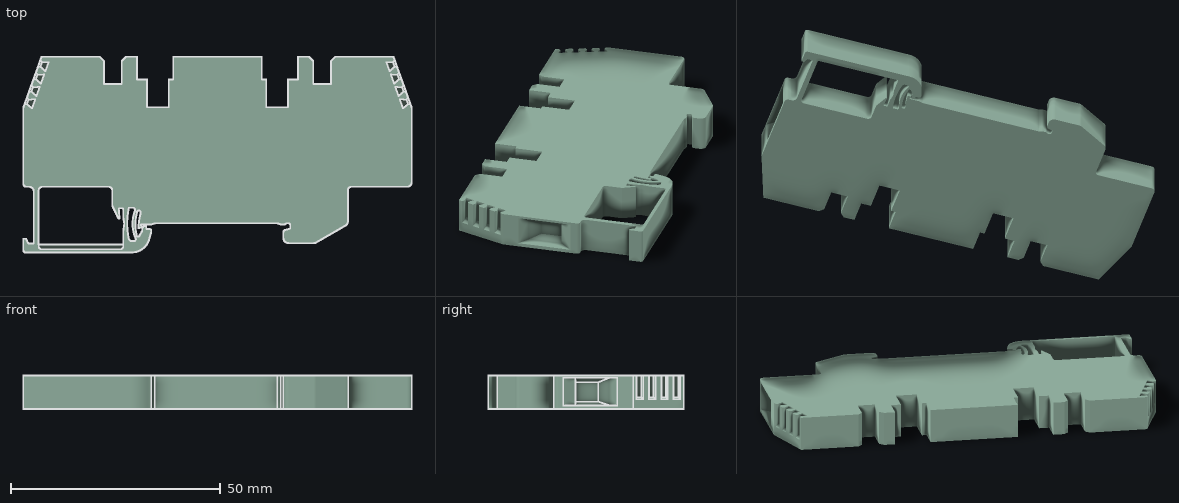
import cadquery as cq
import math

length = 92.8
height = 46.8
thickness = 8.1
middle_x = length / 2

shoulder_y = 15.7
rail_y = 7.0
rail_lip_y = 6.7
seat_x0 = 31.5
seat_x1 = 60.7
lip_run = 0.8
base_x0 = 21.25
base_x1 = 77.6
slope_run = 4.4
slope_y = 34.6
end_radius_left = 0.7
end_radius_right = 1.1

leg_x0 = 2.5
leg_x1 = 3.7
window_x1 = 23.85
bar_y = 0.8
foot_y = 2.2
ledge_y = 1.95
ledge_z = 0.9
window_radius = 0.8

funnel_mouth_depth = 2.6
funnel_depth = 4.6

groove_count = 4
groove_first_drop = 1.7
groove_pitch_y = 3.0
mouth_width = 1.8
neck_width = 1.1
back_width = 2.3
neck_depth = 0.6
groove_depth = 2.0
mouth_z = 2.3


def rounded_outline(corners):
    """Closed wire through (x, y, radius) corners, each rounded by a tangent arc."""
    count = len(corners)
    arcs = []
    for i, (x, y, radius) in enumerate(corners):
        corner = cq.Vector(x, y)
        to_last = (cq.Vector(*corners[i - 1][:2]) - corner).normalized()
        to_next = (cq.Vector(*corners[(i + 1) % count][:2]) - corner).normalized()
        half_angle = to_last.getAngle(to_next) / 2
        setback = radius / math.tan(half_angle)
        bisector = (to_last + to_next).normalized()
        nearest = corner + bisector * (radius / math.sin(half_angle) - radius)
        arcs.append((corner + to_last * setback, nearest, corner + to_next * setback, radius))
    sketch = cq.Workplane("XY").moveTo(*arcs[0][2].toTuple()[:2])
    for start, nearest, end, radius in arcs[1:] + arcs[:1]:
        sketch = sketch.lineTo(start.x, start.y)
        if radius > 0:
            sketch = sketch.threePointArc((nearest.x, nearest.y), (end.x, end.y))
    return sketch.close()


def both_ends(feature):
    """The feature together with its mirror image at the other end."""
    return feature.union(feature.mirror("YZ", (middle_x, 0, 0)))


def plate():
    """Outer outline, with the frame window and spring slots still filled."""
    left_side = [
        (0, shoulder_y, end_radius_left),
        (leg_x0, shoulder_y, 1.1),
        (leg_x0, foot_y, 0),
    ]
    frame_foot = [
        (1.2, foot_y, 0),
        (0.65, 3.3, 0),
        (0, 3.3, 0),
        (0, 0, 0.6),
    ]
    spring_hook = [
        (29.2, 0, 4.4),
        (30.8, 5.7, 0.6),
        (29.4, 5.7, 0),
        (29.4, 6.4, 0),
        (28.8, 6.4, 0),
        (28.4, 5.8, 0),
    ]
    rail_seat = [
        (28.1, rail_lip_y, 0),
        (seat_x0 - lip_run, rail_lip_y, 0),
        (seat_x0, rail_y, 0),
        (seat_x1, rail_y, 0),
        (seat_x1 + lip_run, rail_lip_y, 0),
    ]
    fixed_foot = [
        (62.5, rail_lip_y, 0),
        (62.8, rail_y, 0.3),
        (63.8, rail_y, 0.4),
        (63.8, 5.8, 0),
        (62.1, 5.3, 0.65),
        (62.1, foot_y, 1.3),
        (69.7, foot_y, 1.1),
        (base_x1, 6.8, 1.3),
    ]
    right_end = [
        (base_x1, shoulder_y, 0.7),
        (length, shoulder_y, end_radius_right),
        (length, slope_y, 0),
        (length - slope_run, height, 0),
        (slope_run, height, 0),
        (0, slope_y, 0),
    ]
    corners = left_side + frame_foot + spring_hook + rail_seat + fixed_foot + right_end
    return rounded_outline(corners).extrude(thickness)


def frame_window():
    """Frame opening with a low ledge along its bottom bar and a barb at the spring."""
    opening = rounded_outline([
        (leg_x1, bar_y, 0.6),
        (window_x1, bar_y, 0.6),
        (window_x1, 5.1, 0),
        (window_x1 + 0.3, 7.0, 0),
        (window_x1, 8.35, 0),
        (window_x1, 10.6, 0.2),
        (22.8, 10.6, 0.2),
        (23.1, 7.3, 0.2),
        (base_x0, 11.1, 0),
        (base_x0, shoulder_y, window_radius),
        (leg_x1, shoulder_y, window_radius),
    ]).extrude(thickness)
    ledge = cq.Workplane("XY").box(
        window_x1 - leg_x1, ledge_y, ledge_z, centered=False
    ).translate((leg_x1, 0, 0))
    return opening.cut(ledge)


def spring_slots():
    """Two bowed slots that leave a flexible arm beside the spring strip."""
    inner = (
        cq.Workplane("XY")
        .moveTo(25.2, 10.7)
        .threePointArc((24.9, 6.4), (25.2, 3.25))
        .lineTo(25.6, 2.8)
        .lineTo(26.6, 2.8)
        .lineTo(26.9, 3.2)
        .threePointArc((26.1, 6.5), (26.7, 10.2))
        .lineTo(26.45, 10.7)
        .close()
        .extrude(thickness)
    )
    outer = (
        cq.Workplane("XY")
        .moveTo(27.2, 9.5)
        .threePointArc((26.8, 6.5), (27.2, 3.9))
        .lineTo(27.7, 3.9)
        .lineTo(28.4, 5.2)
        .lineTo(28.4, 5.9)
        .lineTo(27.5, 5.8)
        .threePointArc((27.7, 7.7), (28.0, 9.5))
        .threePointArc((27.7, 10.0), (27.2, 9.5))
        .close()
        .extrude(thickness)
    )
    return inner.union(outer)


def top_slots():
    """Plain lead-in slot and stepped slot in the top edge, for the left half."""
    bevel = 1.0
    narrow_x0 = 19.3
    narrow_x1 = 23.5
    narrow_y = 40.3
    narrow = (
        cq.Workplane("XY")
        .moveTo(narrow_x0, narrow_y)
        .lineTo(narrow_x1, narrow_y)
        .lineTo(narrow_x1, height - bevel)
        .lineTo(narrow_x1 + bevel, height)
        .lineTo(narrow_x0 - bevel, height)
        .lineTo(narrow_x0, height - bevel)
        .close()
        .extrude(thickness)
    )
    wide_x0 = 27.2
    wide_x1 = 35.8
    step_y = 41.4
    deep_x0 = 29.6
    deep_x1 = 34.7
    deep_y = 34.7
    wide = cq.Workplane("XY", origin=(wide_x0, step_y, 0)).box(
        wide_x1 - wide_x0, height - step_y, thickness, centered=False
    )
    deep = cq.Workplane("XY", origin=(deep_x0, deep_y, 0)).box(
        deep_x1 - deep_x0, height - deep_y, thickness, centered=False
    )
    return narrow.union(wide).union(deep)


def rectangle_wire(x, y0, y1, z0, z1):
    """Rectangular wire parallel to YZ at the given X."""
    corners = [(x, y0, z0), (x, y1, z0), (x, y1, z1), (x, y0, z1)]
    return cq.Wire.makePolygon([cq.Vector(*c) for c in corners], close=True)


def wire_funnel():
    """Two-stage tapering pocket in the left end face."""
    opening = rectangle_wire(0, 17.9, 30.8, 0.8, 7.5)
    waist = rectangle_wire(funnel_mouth_depth, 20.8, 28.9, 0.9, 7.4)
    floor = rectangle_wire(funnel_depth, 21.0, 26.4, 1.8, 6.4)
    mouth = cq.Solid.makeLoft([opening, waist], True)
    throat = cq.Solid.makeLoft([waist, floor], True)
    return cq.Workplane(mouth).union(cq.Workplane(throat))


def grip_grooves():
    """Dovetail grooves with a bevelled mouth, cut into the left sloped end."""
    groove = (
        cq.Workplane("XY", origin=(0, 0, mouth_z + neck_depth))
        .polyline([
            (0, -neck_width / 2),
            (neck_depth, -neck_width / 2),
            (groove_depth, -back_width / 2),
            (groove_depth, back_width / 2),
            (neck_depth, neck_width / 2),
            (0, neck_width / 2),
        ])
        .close()
        .extrude(thickness)
    )
    wide_mouth = rectangle_wire(0, -mouth_width / 2, mouth_width / 2, mouth_z, thickness)
    neck = rectangle_wire(neck_depth, -neck_width / 2, neck_width / 2, mouth_z + neck_depth, thickness)
    groove = groove.union(cq.Workplane(cq.Solid.makeLoft([wide_mouth, neck], True)))

    run_per_drop = slope_run / (height - slope_y)
    tilt = math.degrees(math.atan(run_per_drop))
    groove = groove.rotate((0, 0, 0), (0, 0, 1), -tilt)
    grooves = cq.Workplane("XY")
    for i in range(groove_count):
        drop = groove_first_drop + i * groove_pitch_y
        centre_x = slope_run - drop * run_per_drop
        grooves = grooves.union(groove.translate((centre_x, height - drop, 0)))
    return grooves


result = (
    plate()
    .cut(frame_window())
    .cut(spring_slots())
    .cut(both_ends(top_slots()))
    .cut(both_ends(wire_funnel()))
    .cut(both_ends(grip_grooves()))
)